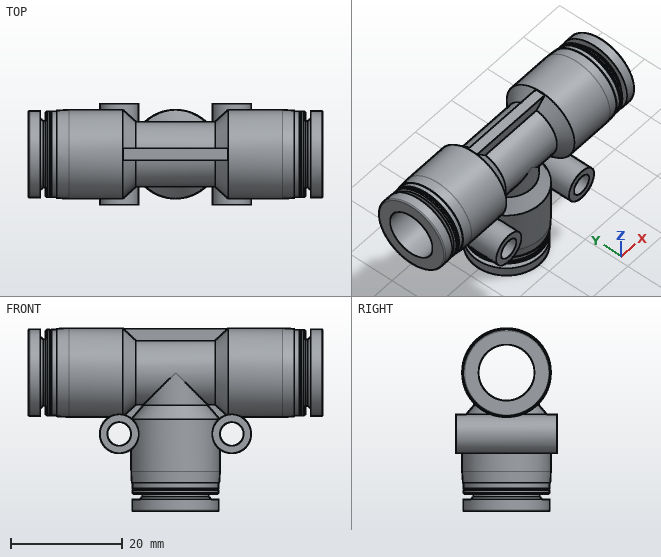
import cadquery as cq

run_half_length = 26.4
branch_length = 24.9
bore_radius = 5.0
body_radius = 8.0
neck_radius = 5.85

run_shoulder = 9.45
run_neck = 7.1
branch_shoulder = 8.35
branch_neck = 5.85

button_radius = 7.8
button_edge_radius = 0.25
button_thickness = 2.15
stem_radius = 6.0
stem_cone_radius = 6.45
stem_cone_end = 2.65

collar_radius = 7.75
collar_start = 3.05
collar_chamfer = 0.3
groove_start = 3.75
groove_bottom = 4.0
groove_end = 4.15
groove_depth = 0.12

crown_start = 5.1
crown_end = 7.2
crown_start_radius = 7.87
crown_middle_radius = 7.96

rib_width = 2.1
rib_top = 7.9

boss_radius = 3.5
boss_hole_diameter = 4.2
boss_length = 18.2
boss_x = 10.1
boss_z = -11.0


def make_arm(length, shoulder, neck):
    """Solid arm along +Z from the tee centre to a port face at the given length."""
    crown_middle = (crown_start + crown_end) / 2
    return (
        cq.Workplane("XZ")
        .moveTo(0, 0)
        .lineTo(neck_radius, 0)
        .lineTo(neck_radius, neck)
        .lineTo(body_radius, shoulder)
        .lineTo(body_radius, length - crown_end)
        .threePointArc(
            (crown_middle_radius, length - crown_middle),
            (crown_start_radius, length - crown_start),
        )
        .lineTo(collar_radius, length - crown_start)
        .lineTo(collar_radius, length - groove_end)
        .lineTo(collar_radius - groove_depth, length - groove_bottom)
        .lineTo(collar_radius, length - groove_start)
        .lineTo(collar_radius, length - collar_start - collar_chamfer)
        .lineTo(collar_radius - collar_chamfer, length - collar_start)
        .lineTo(stem_radius, length - collar_start)
        .lineTo(stem_radius, length - stem_cone_end)
        .lineTo(stem_cone_radius, length - button_thickness)
        .lineTo(button_radius, length - button_thickness)
        .lineTo(button_radius, length - button_edge_radius)
        .radiusArc((button_radius - button_edge_radius, length), -button_edge_radius)
        .lineTo(0, length)
        .close()
        .revolve(360, (0, 0, 0), (0, 1, 0))
    )


def make_body():
    """Two opposed run arms and the downward branch arm."""
    run_arm = make_arm(run_half_length, run_shoulder, run_neck)
    branch_arm = make_arm(branch_length, branch_shoulder, branch_neck)
    body = branch_arm.rotate((0, 0, 0), (1, 0, 0), 180)
    for angle in (-90, 90):
        body = body.union(run_arm.rotate((0, 0, 0), (0, 1, 0), angle))
    return body


def make_ribs():
    """Rib between the run shoulders, joined to a web reaching down to the bosses."""
    top_rib = cq.Workplane("XY").box(
        2 * run_shoulder, rib_width, rib_top, centered=(True, True, False)
    )
    web = cq.Workplane("XY").workplane(offset=boss_z).box(
        2 * boss_x, rib_width, -boss_z, centered=(True, True, False)
    )
    return top_rib.union(web)


def make_boss_rods(radius):
    """Pair of round rods along Y at the mounting boss positions."""
    return (
        cq.Workplane("XZ", origin=(0, boss_length / 2, 0))
        .pushPoints([(-boss_x, boss_z), (boss_x, boss_z)])
        .circle(radius)
        .extrude(boss_length)
    )


def make_bores():
    """Tube bore through the whole run, met by the branch bore."""
    run_bore = cq.Workplane("YZ").circle(bore_radius).extrude(run_half_length, both=True)
    branch_bore = cq.Workplane("XY").circle(bore_radius).extrude(-branch_length)
    return run_bore.union(branch_bore)


result = (
    make_body()
    .union(make_ribs())
    .union(make_boss_rods(boss_radius))
    .cut(make_boss_rods(boss_hole_diameter / 2))
    .cut(make_bores())
)